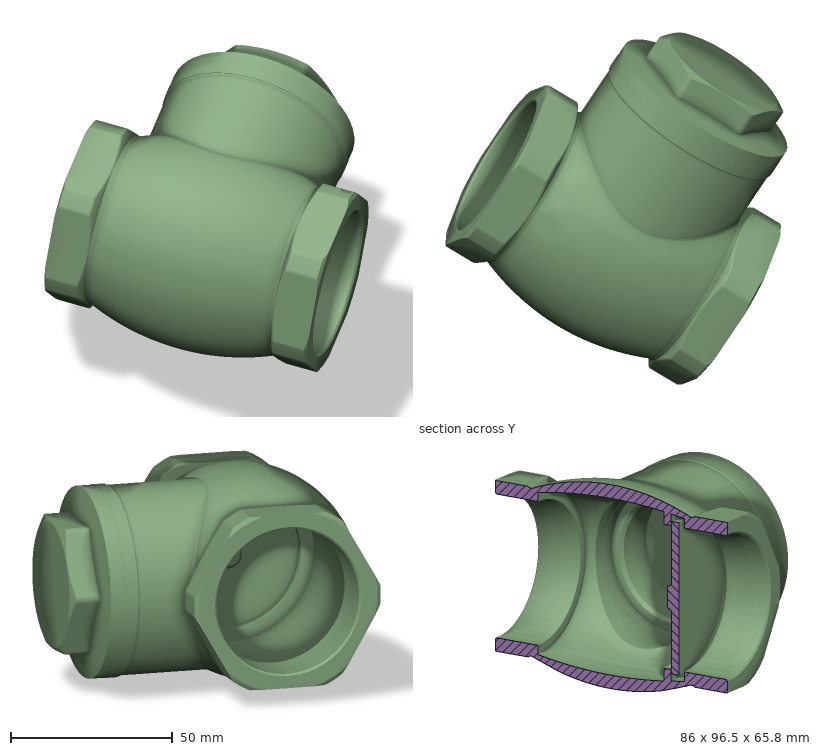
import cadquery as cq
import math


total_length = 86.0
half_length = total_length / 2
barrel_radius = 32.9
barrel_half_length = 29.2
neck_radius = 27.1

end_across_flats = 55.0
end_corner_radius = 30.1
end_corner_blend = 2.3
end_outer_chamfer = 0.8
end_face_radius = 28.8
end_width_at_corner = 11.0
end_width_at_neck = 12.6
end_inner_blend = 0.8

boss_radius = 29.5
flange_radius = 30.0
lip_radius = 29.8
boss_top = 43.9
lip_bottom = 44.4
flange_bottom = 44.8
flange_top = 48.5
boss_blend = 1.0
blend_overrun = 3.9

port_radius = 23.1
port_depth = 16.0
port_chamfer = 0.6
cavity_radius = 28.4
cavity_end_radius = 26.1
access_radius = 23.6
access_relief_radius = 23.7
access_relief_top = 30.9
seat_position = 19.3
seat_thickness = 2.9

gasket_thickness = 1.6
cap_radius = 29.9
cap_rim_top = 53.3
cap_dome_height = 3.3
cap_hex_across_flats = 39.95
cap_hex_corner_blend = 2.3
cap_hex_chamfer_radius = 22.8
cap_hex_top_radius = 19.7
cap_hex_chamfer = 1.35
cap_top = 63.6
plug_bottom = 35.3
plug_chamfer = 0.2
plug_hollow_radius = 19.8
plug_hollow_chamfer = 1.1
plug_hollow_depth = 13.5

disc_radius = 24.6
disc_thickness = 2.9
disc_offset = -0.5
hub_radius = 4.2
hub_top_radius = 3.5
hub_height = 1.5
hub_blend = 0.7

gasket_top = flange_top + gasket_thickness

pick_margin = 0.1


def revolve_about_x(outline):
    return outline.close().revolve(360, (0, 0, 0), (1, 0, 0))


def revolve_about_y(outline):
    return outline.close().revolve(360, (0, 0, 0), (0, 1, 0))


def barrel_shape(middle_radius, end_radius, half_width):
    """Barrel along X, widest at the middle."""
    outline = (
        cq.Workplane("XY")
        .moveTo(-half_width, 0)
        .lineTo(-half_width, end_radius)
        .threePointArc((0, middle_radius), (half_width, end_radius))
        .lineTo(half_width, 0)
    )
    return revolve_about_x(outline)


def hex_end():
    """Wrench hexagon of the -X end, its corners turned round and coned on both sides."""
    corner_to_corner = end_across_flats / math.cos(math.pi / 6)
    prism = (
        cq.Workplane("YZ", origin=(-half_length, 0, 0))
        .polygon(6, corner_to_corner)
        .extrude(end_width_at_neck)
    )
    cylinder = cq.Workplane("YZ", origin=(-half_length, 0, 0)).circle(end_corner_radius)
    prism = prism.intersect(cylinder.extrude(end_width_at_neck)).edges("|X").fillet(end_corner_blend)
    outline = (
        cq.Workplane("XY")
        .moveTo(-half_length, 0)
        .lineTo(-half_length, end_face_radius)
        .lineTo(-half_length + end_outer_chamfer, end_corner_radius)
        .lineTo(-half_length + end_width_at_corner, end_corner_radius)
        .lineTo(-half_length + end_width_at_neck, neck_radius)
        .lineTo(-half_length + end_width_at_neck, 0)
    )
    hexagon = prism.intersect(revolve_about_x(outline))
    inner_edges = cq.selectors.BoxSelector(
        (-half_length + end_width_at_corner - pick_margin, -end_corner_radius, -end_corner_radius),
        (-half_length + end_width_at_neck - pick_margin, end_corner_radius, end_corner_radius),
    )
    return hexagon.edges(inner_edges).fillet(end_inner_blend)


def boss():
    """Access boss with its flange; it starts at the flow axis."""
    outline = (
        cq.Workplane("XY")
        .lineTo(-boss_radius, 0)
        .lineTo(-boss_radius, boss_top)
        .lineTo(-lip_radius, lip_bottom)
        .lineTo(-lip_radius, flange_bottom)
        .lineTo(-flange_radius, flange_bottom)
        .lineTo(-flange_radius, flange_top)
        .lineTo(0, flange_top)
    )
    return revolve_about_y(outline)


def port():
    """Bore of the -X end with its mouth chamfer."""
    outline = (
        cq.Workplane("XY")
        .moveTo(-half_length, 0)
        .lineTo(-half_length, port_radius + port_chamfer)
        .lineTo(-half_length + port_chamfer, port_radius)
        .lineTo(-half_length + port_depth, port_radius)
        .lineTo(-half_length + port_depth, 0)
    )
    return revolve_about_x(outline)


def on_both_ends(shape):
    return shape.union(shape.mirror("YZ"))


def blended_body():
    """Barrel and boss with a small blend where they meet.

    The boss is a little wider than the barrel is long, so the blend is made on a barrel that
    overruns along the same arc, and both are then cut back to the barrel's length.
    """
    rise = barrel_radius - neck_radius
    arc_radius = (barrel_half_length**2 + rise**2) / (2 * rise)
    long_half = barrel_half_length + blend_overrun
    long_end = barrel_radius - arc_radius + math.sqrt(arc_radius**2 - long_half**2)
    body = barrel_shape(barrel_radius, long_end, long_half).union(boss())
    joint = cq.selectors.BoxSelector(
        (-boss_radius - pick_margin, pick_margin, -boss_radius - pick_margin),
        (boss_radius + pick_margin, boss_top - pick_margin, boss_radius + pick_margin),
        boundingbox=True,
    )
    body = body.edges(joint).fillet(boss_blend)
    trim = cq.Workplane("XY").box(2 * barrel_half_length, 2 * total_length, 2 * total_length)
    return body.intersect(trim).union(boss())


def neck():
    """Short plain neck between the -X hexagon and the barrel."""
    start = -half_length + end_width_at_neck
    section = cq.Workplane("YZ", origin=(start, 0, 0)).circle(neck_radius)
    return section.extrude(-barrel_half_length - start)


def access_bore():
    """Bore for the cap's plug, slightly wider below the plug."""
    bore = cq.Workplane("XZ").circle(access_radius).extrude(-flange_top)
    relief = cq.Workplane("XZ").circle(access_relief_radius).extrude(-access_relief_top)
    return bore.union(relief)


def seat_ring():
    """Wall across the cavity with the opening that the flap disc closes."""
    return (
        cq.Workplane("YZ", origin=(seat_position, 0, 0))
        .circle(cavity_radius)
        .circle(port_radius)
        .extrude(seat_thickness)
    )


def make_housing():
    shell = blended_body().union(on_both_ends(hex_end())).union(on_both_ends(neck()))
    cavity = barrel_shape(cavity_radius, cavity_end_radius, half_length - port_depth)
    seat = seat_ring().intersect(cavity)
    return shell.cut(cavity).cut(on_both_ends(port())).cut(access_bore()).union(seat)


def make_gasket():
    return (
        cq.Workplane("XZ", origin=(0, flange_top, 0))
        .circle(cap_radius)
        .circle(access_radius)
        .extrude(-gasket_thickness)
    )


def cap_hex():
    corner_to_corner = cap_hex_across_flats / math.cos(math.pi / 6)
    prism = (
        cq.Workplane("XZ", origin=(0, cap_rim_top, 0))
        .polygon(6, corner_to_corner)
        .extrude(cap_rim_top - cap_top)
        .edges("|Y")
        .fillet(cap_hex_corner_blend)
    )
    outline = (
        cq.Workplane("XY")
        .moveTo(0, cap_rim_top)
        .lineTo(-cap_hex_chamfer_radius, cap_rim_top)
        .lineTo(-cap_hex_chamfer_radius, cap_top - cap_hex_chamfer)
        .lineTo(-cap_hex_top_radius, cap_top)
        .lineTo(0, cap_top)
    )
    return prism.intersect(revolve_about_y(outline))


def make_cap():
    """Screwed cap: domed flange, wrench hexagon and hollow plug."""
    dome_radius = (cap_radius**2 + cap_dome_height**2) / (2 * cap_dome_height)
    middle_angle = math.asin(cap_radius / dome_radius) / 2
    dome_top = cap_rim_top + cap_dome_height
    dome_middle = (
        -dome_radius * math.sin(middle_angle),
        dome_top - dome_radius * (1 - math.cos(middle_angle)),
    )
    outline = (
        cq.Workplane("XY")
        .moveTo(0, plug_bottom + plug_hollow_depth)
        .lineTo(-plug_hollow_radius, plug_bottom + plug_hollow_depth)
        .lineTo(-plug_hollow_radius, plug_bottom + plug_hollow_chamfer)
        .lineTo(-plug_hollow_radius - plug_hollow_chamfer, plug_bottom)
        .lineTo(-access_radius + plug_chamfer, plug_bottom)
        .lineTo(-access_radius, plug_bottom + plug_chamfer)
        .lineTo(-access_radius, gasket_top)
        .lineTo(-cap_radius, gasket_top)
        .lineTo(-cap_radius, cap_rim_top)
        .threePointArc(dome_middle, (0, dome_top))
    )
    return revolve_about_y(outline).union(cap_hex())


def make_disc():
    """Flap disc behind the seat, with a coned hub on its front face."""
    front = seat_position + seat_thickness
    outline = (
        cq.Workplane("XY")
        .moveTo(front - hub_height, 0)
        .lineTo(front - hub_height, hub_top_radius)
        .lineTo(front, hub_radius)
        .lineTo(front, disc_radius)
        .lineTo(front + disc_thickness, disc_radius)
        .lineTo(front + disc_thickness, 0)
    )
    disc = revolve_about_x(outline)
    hub_edges = cq.selectors.BoxSelector(
        (front - hub_height - pick_margin, -hub_radius, -hub_radius),
        (front + pick_margin, hub_radius, hub_radius),
    )
    return disc.edges(hub_edges).edges("%CIRCLE").fillet(hub_blend).translate((0, disc_offset, 0))


housing = make_housing()
gasket = make_gasket()
cap = make_cap()
disc = make_disc()

result = cq.Compound.makeCompound([body.solids().val() for body in (housing, gasket, cap, disc)])